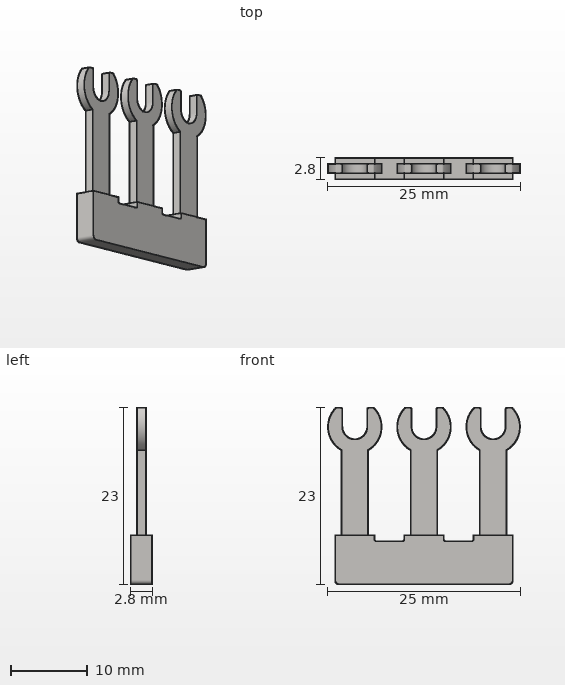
import cadquery as cq
import math

overall_height = 23.0
fork_count = 3
fork_pitch = 9.0

head_radius = 3.5
shank_width = 3.5
fork_thickness = 1.2
slot_width = 3.2
head_center_drop = 2.5
tip_fillet = 0.25

pedestal_width = 5.15
base_length = (fork_count - 1) * fork_pitch + pedestal_width
base_depth = 2.8
base_height = 6.42
notch_depth = 0.8
notch_width = fork_pitch - pedestal_width
notch_fillet = 0.25
bottom_corner_fillet = 0.55

head_center_z = overall_height - head_center_drop
slot_radius = slot_width / 2
tip_outer_x = math.sqrt(head_radius**2 - head_center_drop**2)
shank_joint_z = head_center_z - math.sqrt(head_radius**2 - (shank_width / 2) ** 2)


def make_base():
    """Block with a row of pedestals separated by shallow notches."""
    block = cq.Workplane("XY").box(base_length, base_depth, base_height, centered=(True, True, False))
    block = block.edges("|Y and <Z").fillet(bottom_corner_fillet)
    notch = (
        cq.Workplane("XY")
        .box(notch_width, base_depth, notch_depth, centered=(True, True, False))
        .edges("|Y and <Z")
        .fillet(notch_fillet)
    )
    for index in range(fork_count - 1):
        notch_x = (index - (fork_count - 2) / 2) * fork_pitch
        block = block.cut(notch.translate((notch_x, 0, base_height - notch_depth)))
    return block


def make_fork(center_x):
    """Flat open-ended fork standing on its pedestal."""
    half_shank = shank_width / 2
    fork = (
        cq.Workplane("XZ")
        .moveTo(-half_shank, base_height)
        .lineTo(half_shank, base_height)
        .lineTo(half_shank, shank_joint_z)
        .threePointArc((head_radius, head_center_z), (tip_outer_x, overall_height))
        .lineTo(slot_radius, overall_height)
        .lineTo(slot_radius, head_center_z)
        .threePointArc((0, head_center_z - slot_radius), (-slot_radius, head_center_z))
        .lineTo(-slot_radius, overall_height)
        .lineTo(-tip_outer_x, overall_height)
        .threePointArc((-head_radius, head_center_z), (-half_shank, shank_joint_z))
        .close()
        .extrude(fork_thickness / 2, both=True)
    )
    fork = fork.faces(">Z").edges("|Y").fillet(tip_fillet)
    return fork.translate((center_x, 0, 0))


base = make_base()
forks = []
for fork_index in range(fork_count):
    fork_x = (fork_index - (fork_count - 1) / 2) * fork_pitch
    forks.append(make_fork(fork_x).val())

result = cq.Compound.makeCompound([base.val(), *forks])